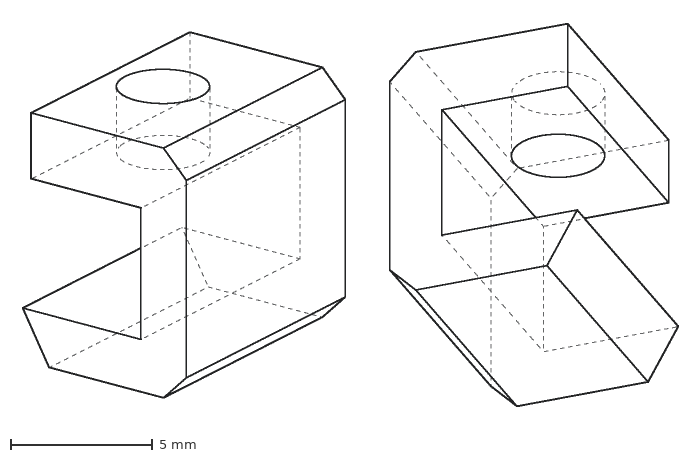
import cadquery as cq
import math

width = 7.15
length = 9.6
height = 9.5

lower_arm = 2.0
upper_arm = 2.51
back_wall = 2.0
corner_chamfer = 1.0
upper_arm_setback = 0.36
tip_angle = 30.0

hole_diameter = 3.3
hole_from_back = 4.49

tip_undercut = lower_arm * math.tan(math.radians(tip_angle))
slot_top = height - upper_arm
slot_end = width - back_wall


def clamp_body():
    """Extrude the C-shaped profile along Y, from 0 to length."""
    profile = [
        (tip_undercut, 0),
        (width - corner_chamfer, 0),
        (width, corner_chamfer),
        (width, height - corner_chamfer),
        (width - corner_chamfer, height),
        (upper_arm_setback, height),
        (upper_arm_setback, slot_top),
        (slot_end, slot_top),
        (slot_end, lower_arm),
        (0, lower_arm),
    ]
    return cq.Workplane("XZ").polyline(profile).close().extrude(-length)


def screw_hole():
    """Vertical cylinder that crosses only the upper arm."""
    return (
        cq.Workplane("XY", origin=(width - hole_from_back, length / 2, slot_top))
        .circle(hole_diameter / 2)
        .extrude(upper_arm)
    )


result = clamp_body().cut(screw_hole())